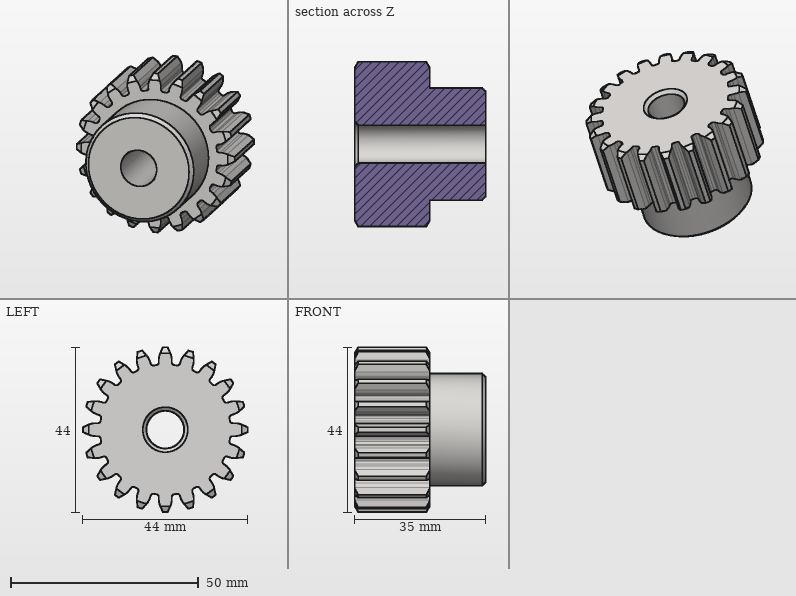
import cadquery as cq
import math

tooth_count = 20
outside_radius = 22.0
root_radius = 17.42
gear_width = 20.0

tip_half_width = 0.65
shoulder_half_width, shoulder_height = 1.5, 20.1
middle_half_width, middle_height = 1.65, 19.45
base_half_width, base_height = 1.75, 18.8
root_half_width = 1.75
root_fillet = 0.7

tooth_bevel_length = 0.92
tooth_bevel_angle = 60.0

total_length = 35.0
hub_diameter = 30.0
bore_diameter = 10.0
edge_chamfer = 1.0

tooth_pitch = 360.0 / tooth_count
tip_half_angle = math.degrees(math.asin(tip_half_width / outside_radius))
root_height = math.sqrt(root_radius**2 - root_half_width**2)


def polar(radius, angle):
    """Point at a radius, with the angle in degrees measured from +Z toward +Y."""
    turn = math.radians(angle)
    return (radius * math.sin(turn), radius * math.cos(turn))


def on_tooth(half_width, height, axis_angle):
    """Turn a point of the upright tooth to the tooth at axis_angle."""
    radius = math.hypot(half_width, height)
    return polar(radius, axis_angle + math.degrees(math.atan2(half_width, height)))


def is_root_corner(edge):
    """True for the lengthwise edges where a flank meets the root circle."""
    center = edge.Center()
    return math.hypot(center.y, center.z) < (root_radius + base_height) / 2


def make_toothed_blank():
    """Gear outline: tip arc, straight upper flank, curved flank, straight foot and filleted root."""
    outline = cq.Workplane("YZ").moveTo(*polar(outside_radius, -tip_half_angle))
    for index in range(tooth_count):
        axis = index * tooth_pitch
        next_axis = axis + tooth_pitch
        outline = (
            outline.threePointArc(polar(outside_radius, axis), polar(outside_radius, axis + tip_half_angle))
            .lineTo(*on_tooth(shoulder_half_width, shoulder_height, axis))
            .threePointArc(
                on_tooth(middle_half_width, middle_height, axis),
                on_tooth(base_half_width, base_height, axis),
            )
            .lineTo(*on_tooth(root_half_width, root_height, axis))
            .threePointArc(
                polar(root_radius, axis + tooth_pitch / 2),
                on_tooth(-root_half_width, root_height, next_axis),
            )
            .lineTo(*on_tooth(-base_half_width, base_height, next_axis))
            .threePointArc(
                on_tooth(-middle_half_width, middle_height, next_axis),
                on_tooth(-shoulder_half_width, shoulder_height, next_axis),
            )
        )
        if index < tooth_count - 1:
            outline = outline.lineTo(*polar(outside_radius, next_axis - tip_half_angle))
    blank = outline.close().extrude(gear_width)
    return blank.edges("|X").filter(is_root_corner).fillet(root_fillet)


def make_bevel_envelope():
    """Turned disc with conical ends that bevels the teeth where the two overlap."""
    end_radius = outside_radius - tooth_bevel_length * math.tan(math.radians(tooth_bevel_angle))
    half_profile = [
        (0, 0),
        (0, end_radius),
        (tooth_bevel_length, outside_radius),
        (gear_width - tooth_bevel_length, outside_radius),
        (gear_width, end_radius),
        (gear_width, 0),
    ]
    return cq.Workplane("XY").polyline(half_profile).close().revolve(360, (0, 0, 0), (1, 0, 0))


def make_hub():
    """Plain cylinder running the whole length, chamfered at its free end."""
    return cq.Workplane("YZ").circle(hub_diameter / 2).extrude(total_length).faces(">X").chamfer(edge_chamfer)


def make_bore():
    """Through bore with a countersunk mouth at the gear face."""
    bore = cq.Workplane("YZ").circle(bore_diameter / 2).extrude(total_length)
    mouth = (
        cq.Workplane("YZ")
        .circle(bore_diameter / 2 + edge_chamfer)
        .workplane(offset=edge_chamfer)
        .circle(bore_diameter / 2)
        .loft()
    )
    return bore.union(mouth)


gear = make_toothed_blank().intersect(make_bevel_envelope())
result = gear.union(make_hub()).cut(make_bore())